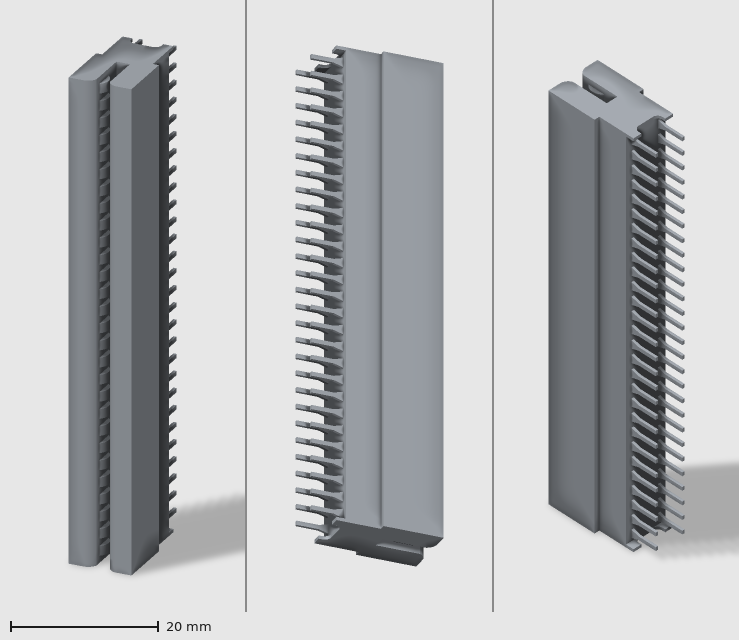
import cadquery as cq

length = 72.15
body_width = 9.4
overall_depth = 18.7
neck_width = 7.6
front_y = -overall_depth / 2
pin_tip_y = overall_depth / 2
shoulder_y = front_y + 8.9
back_y = front_y + 14.0

slot_width = 2.0
slot_floor_y = front_y + 7.5
mouth_width = 5.0
mouth_depth = 1.0

ear_tip_y = front_y + 15.45
plate_thickness = 0.5
notch_width = 4.55
notch_radius = 0.95

pin_count = 28
pin_pitch = 2.54
pin_row_x = 2.5
pin_thickness = 0.4
pin_width = 0.65
pin_root_width = 1.45
pin_taper_length = 1.4
pin_embed = 0.7
spring_width = 1.45
spring_gap = 0.6
spring_center_y = front_y + 3.45
spring_half_span = 1.5
sides = (-1, 1)


def block(width, y_start, y_end, height):
    """Box centred on X = 0 and Z = 0 that runs from y_start to y_end."""
    box = cq.Workplane("XY").box(width, y_end - y_start, height, centered=(True, False, True))
    return box.translate((0, y_start, 0))


def make_housing():
    """Stepped block with the card slot cut along its whole length."""
    housing = block(body_width, front_y, shoulder_y, length)
    housing = housing.union(block(neck_width, shoulder_y, back_y, length))
    half_slot = slot_width / 2
    half_mouth = mouth_width / 2
    lip_y = front_y + mouth_depth
    flare = half_mouth - half_slot
    lip_radius = (flare**2 + mouth_depth**2) / (2 * mouth_depth)
    slot = (
        cq.Workplane("XY")
        .workplane(offset=-length / 2)
        .moveTo(-half_mouth, front_y)
        .radiusArc((-half_slot, lip_y), -lip_radius)
        .lineTo(-half_slot, slot_floor_y)
        .lineTo(half_slot, slot_floor_y)
        .lineTo(half_slot, lip_y)
        .radiusArc((half_mouth, front_y), -lip_radius)
        .close()
        .extrude(length)
    )
    return housing.cut(slot)


def make_end_plates():
    """Pair of thin plates, one flush with each end of the housing."""
    half_neck = neck_width / 2
    half_notch = notch_width / 2
    plates = (
        cq.Workplane("XY")
        .workplane(offset=-length / 2)
        .moveTo(-half_neck, shoulder_y)
        .lineTo(half_neck, shoulder_y)
        .lineTo(half_neck, ear_tip_y)
        .lineTo(half_notch, ear_tip_y)
        .lineTo(half_notch, back_y + notch_radius)
        .radiusArc((half_notch - notch_radius, back_y), notch_radius)
        .lineTo(-half_notch + notch_radius, back_y)
        .radiusArc((-half_notch, back_y + notch_radius), notch_radius)
        .lineTo(-half_notch, ear_tip_y)
        .lineTo(-half_neck, ear_tip_y)
        .close()
        .extrude(length)
    )
    return plates.cut(block(body_width, back_y, ear_tip_y, length - 2 * plate_thickness))


def make_pin():
    """Flat terminal pin, wide at the housing and tapering to a straight tail."""
    half_root = pin_root_width / 2
    half_tail = pin_width / 2
    tail_y = back_y + pin_taper_length
    outline = [
        (back_y - pin_embed, -half_root),
        (back_y, -half_root),
        (tail_y, -half_tail),
        (pin_tip_y, -half_tail),
        (pin_tip_y, half_tail),
        (tail_y, half_tail),
        (back_y, half_root),
        (back_y - pin_embed, half_root),
    ]
    return cq.Workplane("YZ").polyline(outline).close().extrude(pin_thickness / 2, both=True)


def make_spring(side):
    """Contact spring bulging in an arc from one slot wall toward the middle."""
    wall_x = side * slot_width / 2
    crest_x = side * spring_gap / 2
    return (
        cq.Workplane("XY")
        .moveTo(wall_x, spring_center_y - spring_half_span)
        .threePointArc((crest_x, spring_center_y), (wall_x, spring_center_y + spring_half_span))
        .close()
        .extrude(spring_width / 2, both=True)
    )


def make_contacts():
    """All pins and springs, evenly pitched along Z."""
    contacts = []
    pin = make_pin()
    for side in sides:
        spring = make_spring(side)
        for index in range(pin_count):
            z = (index - (pin_count - 1) / 2) * pin_pitch
            contacts.append(pin.translate((side * pin_row_x, 0, z)).val())
            contacts.append(spring.translate((0, 0, z)).val())
    return contacts


housing = make_housing().union(make_end_plates())
result = cq.Workplane(housing.val().fuse(*make_contacts()))